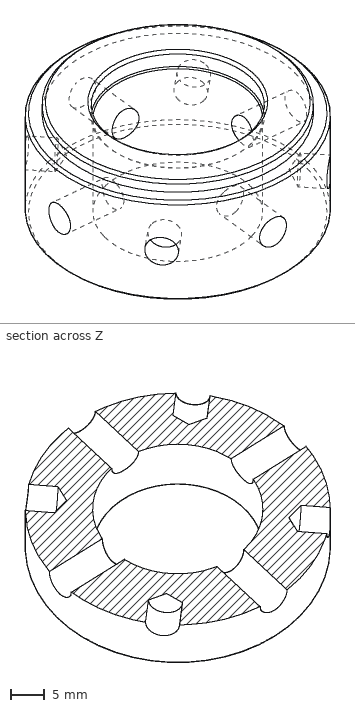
import cadquery as cq
import math

body_diameter = 45.0
body_height = 18.0
chamfer = 0.5

shoulder_diameter = 40.0
shoulder_height = 2.0
total_height = body_height + shoulder_height

bore_diameter = 25.0
recess_diameter = 25.5
recess_depth = 3.0

hole_height = body_height / 2
through_hole_diameter = 5.1
blind_hole_diameter = 5.0
blind_hole_depth = 4.5
drill_point_angle = 118.0
through_hole_angles = (0, 90, 180, 270)
blind_hole_angles = (45, 135, 225, 315)


def ring():
    """Stepped ring with chamfered outer rims and a recessed bore."""
    body = cq.Workplane("XY").circle(body_diameter / 2).extrude(body_height)
    body = body.edges().chamfer(chamfer)
    shoulder = (
        cq.Workplane("XY")
        .workplane(offset=body_height / 2)
        .circle(shoulder_diameter / 2)
        .extrude(total_height - body_height / 2)
        .faces(">Z")
        .edges()
        .chamfer(chamfer)
    )
    bore_radius = bore_diameter / 2
    bore = cq.Workplane("XY").circle(bore_radius).extrude(total_height)
    recess_radius = recess_diameter / 2
    taper_bottom = total_height - recess_depth
    taper_top = taper_bottom + recess_radius - bore_radius
    recess = (
        cq.Workplane("XZ")
        .moveTo(0, taper_bottom)
        .lineTo(bore_radius, taper_bottom)
        .lineTo(recess_radius, taper_top)
        .lineTo(recess_radius, total_height)
        .lineTo(0, total_height)
        .close()
        .revolve()
    )
    blank = body.union(shoulder).cut(bore).cut(recess)
    bore_rim = blank.faces(">Z").edges(cq.selectors.RadiusNthSelector(0))
    return bore_rim.chamfer(chamfer)


def radial_cutter(diameter, inner_radius, angle):
    """Cylinder running outward from inner_radius past the ring's outer wall."""
    return (
        cq.Workplane("YZ", origin=(inner_radius, 0, hole_height))
        .circle(diameter / 2)
        .extrude(body_diameter / 2)
        .rotate((0, 0, 0), (0, 0, 1), angle)
    )


def blind_cutter(angle):
    """Drill shape: a cylinder with a conical point aimed at the ring's axis."""
    hole_radius = blind_hole_diameter / 2
    floor_radius = body_diameter / 2 - blind_hole_depth
    point_length = hole_radius / math.tan(math.radians(drill_point_angle / 2))
    point = cq.Solid.makeCone(
        hole_radius,
        0,
        point_length,
        pnt=cq.Vector(floor_radius, 0, hole_height),
        dir=cq.Vector(-1, 0, 0),
    ).rotate(cq.Vector(0, 0, 0), cq.Vector(0, 0, 1), angle)
    return radial_cutter(blind_hole_diameter, floor_radius, angle).union(cq.Workplane(point))


result = ring()

for angle in through_hole_angles:
    result = result.cut(radial_cutter(through_hole_diameter, 0, angle))

for angle in blind_hole_angles:
    result = result.cut(blind_cutter(angle))